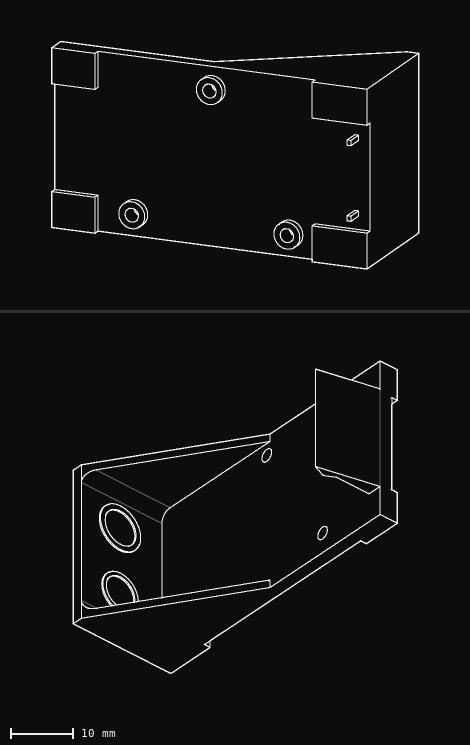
import cadquery as cq

length = 54.6
width = 30.0
height = 20.65
mid_z = width / 2

foot_height = 1.2
floor_top = 3.65
foot_width = 6.0
clip_end_foot_length = 7.5
contact_end_foot_length = 9.5

side_wall = 1.5
end_wall = 2.0
slope_start_x = 26.55
flat_top_length = end_wall
corner_diameter = 4.0

clip_width = 19.05
clip_thickness = 2.7
clip_tip_y = 14.95
barb_depth = 1.05
barb_peak_y = 12.45
barb_base_y = 10.5

boss_diameter = 4.5
hole_diameter = 2.3
boss_spacing = 13.45
lower_boss_z = 3.8
upper_boss_z = 26.2
boss_places = [
    (length / 2, upper_boss_z),
    (length / 2 - boss_spacing, lower_boss_z),
    (length / 2 + boss_spacing, lower_boss_z),
]

cell_pitch = 12.6
cell_zs = [mid_z - cell_pitch / 2, mid_z + cell_pitch / 2]
pin_x = 52.3
pin_size_x = 0.65
pin_size_z = 0.9
pin_length = 1.85
ring_y = 12.6
ring_height = 0.3
ring_diameters = [(7.5, 6.0), (8.5, 6.5)]


def block(x, y, z):
    """Box spanning the given (start, end) pair along each axis."""
    size = (x[1] - x[0], y[1] - y[0], z[1] - z[0])
    return cq.Workplane("XY").box(*size, centered=False).translate((x[0], y[0], z[0]))


def cylinder_y(x, z, diameter, start_y, end_y):
    """Cylinder running along Y."""
    base = cq.Vector(x, start_y, z)
    return cq.Workplane(cq.Solid.makeCylinder(diameter / 2, end_y - start_y, base, cq.Vector(0, 1, 0)))


def make_shell():
    """Floor with sloping side walls and an end wall, open towards the clip."""
    profile = [
        (0, foot_height),
        (length, foot_height),
        (length, height),
        (length - flat_top_length, height),
        (slope_start_x, floor_top),
        (0, floor_top),
    ]
    shell = cq.Workplane("XY").polyline(profile).close().extrude(width)
    cavity = block((0, length - end_wall), (floor_top, height), (side_wall, width - side_wall))
    return shell.cut(cavity.edges("|Y and >X").fillet(corner_diameter / 2))


def make_feet():
    """Rectangular pads at the four corners."""
    feet = cq.Workplane("XY")
    for x in [(0, clip_end_foot_length), (length - contact_end_foot_length, length)]:
        for z in [(0, foot_width), (width - foot_width, width)]:
            feet = feet.add(block(x, (0, foot_height), z))
    return feet.combine()


def make_clip():
    """Tapered snap clip with a barb facing the cells."""
    profile = [
        (0, floor_top),
        (clip_thickness, floor_top),
        (clip_thickness, barb_base_y),
        (clip_thickness + barb_depth, barb_peak_y),
        (clip_thickness, clip_tip_y),
    ]
    clip = cq.Workplane("XY").polyline(profile).close().extrude(clip_width)
    return clip.translate((0, 0, mid_z - clip_width / 2))


def make_pin(z):
    """Rectangular solder pin rooted in the floor."""
    return block(
        (pin_x - pin_size_x / 2, pin_x + pin_size_x / 2),
        (-pin_length, floor_top),
        (z - pin_size_z / 2, z + pin_size_z / 2),
    )


def make_ring(z, outer_diameter, inner_diameter):
    """Low raised contact ring on the inner face of the end wall."""
    ring = cq.Workplane("YZ").center(ring_y, z).circle(outer_diameter / 2).circle(inner_diameter / 2)
    return ring.extrude(ring_height).translate((length - end_wall - ring_height, 0, 0))


result = make_shell().union(make_feet()).union(make_clip())

for boss_x, boss_z in boss_places:
    result = result.union(cylinder_y(boss_x, boss_z, boss_diameter, 0, foot_height))
    result = result.cut(cylinder_y(boss_x, boss_z, hole_diameter, 0, floor_top))

for cell_z, (outer, inner) in zip(cell_zs, ring_diameters):
    result = result.union(make_pin(cell_z))
    result = result.union(make_ring(cell_z, outer, inner))